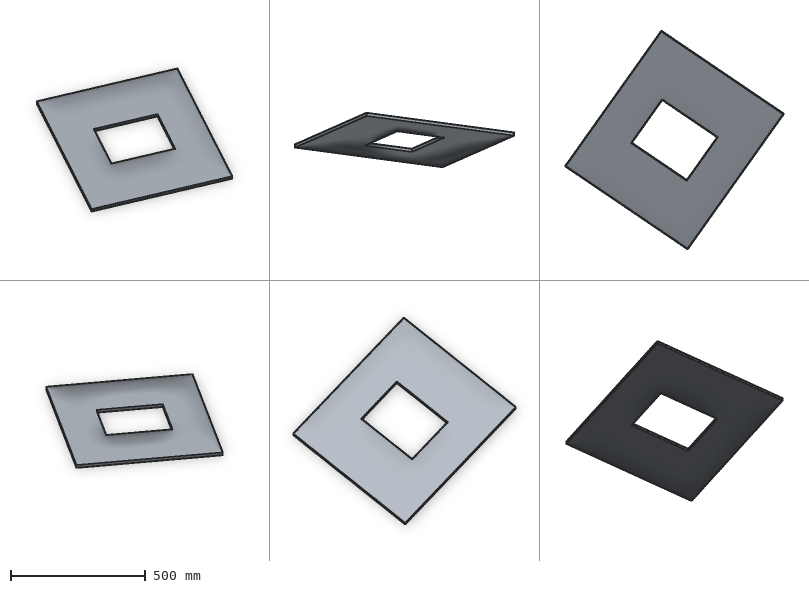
import cadquery as cq

plate_length = 625.5
plate_width = 553.0
plate_thickness = 12.5

window_length = 200.0
window_width = 250.0

plate = cq.Workplane("XY").box(plate_length, plate_width, plate_thickness)
result = plate.faces(">Z").workplane().rect(window_length, window_width).cutThruAll()